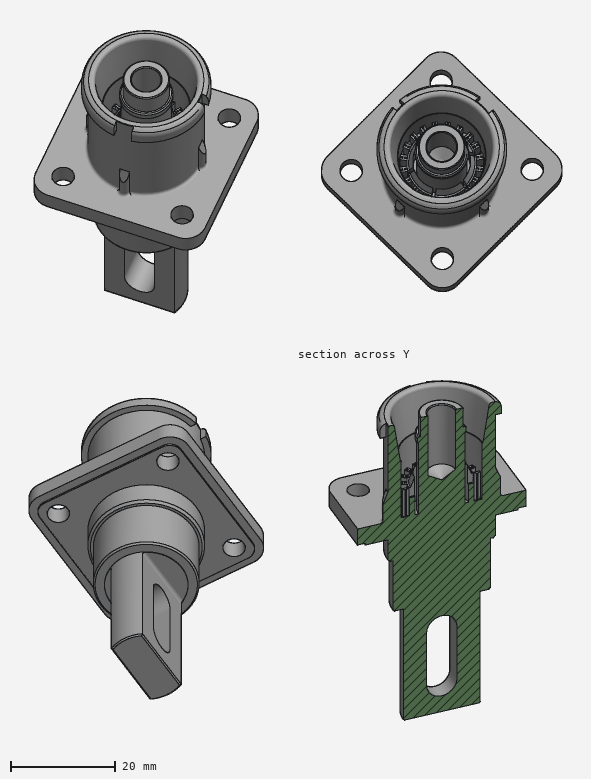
import cadquery as cq
import math

total_height = 69.2
body_bottom = 25.75
shoulder_bottom = 37.45
gasket_bottom = 42.55
plate_bottom = 43.0
plate_top = 46.8
cavity_floor = 47.05
contact_ledge = 60.0
rim_bottom = 65.75
rim_rounding_start = 67.4
rim_rounding_top = 68.45
rim_crown_start = 68.7
sleeve_top = 68.9

sleeve_radius = 11.2
lower_radius = 10.2
rim_radius = 12.45
rim_rounding_end_radius = 12.05
rim_crown_radius = 11.6
rim_bulge_inset = 0.105
shoulder_chamfer = 0.5
lower_chamfer = 0.35
sleeve_chamfer = 0.15
mouth_radius = 9.75
mouth_fillet = 0.75
ledge_radius = 8.5
plate_root_fillet = 0.55

plate_size = 35.0
plate_corner_radius = 4.0
gasket_size = 31.7
gasket_corner_radius = 2.55
mount_hole_diameter = 4.3
mount_hole_spacing = 24.6

rib_width = 2.0
rib_reach = 12.25
rib_top = 53.7
rib_taper_bottom = 51.15
wide_notch_width = 3.6

contact_count = 20
contact_width = 1.05
contact_inner_radius = 6.7
contact_outer_radius = 8.1
contact_top = 53.3
contact_slit = 0.3
contact_bridge = 0.35
contact_wall_radius = 8.4
basket_inner_radius = 5.55
basket_shoulder_radius = 6.4
basket_top = 55.35
basket_shoulder = 53.3
basket_slot_count = 6
basket_slot_width = 0.6
basket_slot_depth = 4.15

tube_radius = 4.5
tube_edge_chamfer = 0.2
collar_radius = 5.1
collar_top = 64.8
collar_height = 1.4
collar_chamfer = 0.3
core_radius = 4.85
bore_radius = 2.85
bore_depth = 13.85
bore_tip_half_angle = math.radians(59)

bar_radius = 8.0
bar_stub = 0.15
blade_thickness = 7.0
blade_root_fillet = 0.7
blade_tip_chamfer = 0.3
slot_width = 6.15
slot_bottom = 3.75
slot_top = 22.15


def rod(radius, bottom, top):
    """Plain cylinder about Z."""
    return cq.Workplane("XY").workplane(offset=bottom).circle(radius).extrude(top - bottom)


def make_plate(size, corner_radius, bottom, top):
    """Square plate with rounded corners."""
    plate = cq.Workplane("XY").workplane(offset=bottom).rect(size, size).extrude(top - bottom)
    return plate.edges("|Z").fillet(corner_radius)


def root_flare(radius, centre_x):
    """Concave fillet on the plate around an upright cylinder standing at centre_x."""
    wide = radius + plate_root_fillet
    bend = plate_root_fillet * (1 - math.sqrt(0.5))
    return (
        cq.Workplane("XZ")
        .moveTo(0, plate_top)
        .lineTo(wide, plate_top)
        .threePointArc((radius + bend, plate_top + bend), (radius, plate_top + plate_root_fillet))
        .lineTo(0, plate_top + plate_root_fillet)
        .close()
        .revolve(360, (0, 0, 0), (0, 1, 0))
        .translate((centre_x, 0, 0))
    )


def make_rib():
    """Round-nosed rib on the +X side, with its top sloping back into the sleeve."""
    nose_radius = rib_width / 2
    nose_centre = rib_reach - nose_radius
    rib_root = (mouth_radius + sleeve_radius) / 2
    rib = (
        cq.Workplane("XY")
        .workplane(offset=plate_bottom)
        .moveTo(rib_root, -nose_radius)
        .lineTo(nose_centre, -nose_radius)
        .threePointArc((rib_reach, 0), (nose_centre, nose_radius))
        .lineTo(rib_root, nose_radius)
        .close()
        .extrude(rib_top - plate_bottom)
    )
    above_slope = (
        cq.Workplane("XZ")
        .moveTo(sleeve_radius, rib_top)
        .lineTo(rib_reach, rib_taper_bottom)
        .lineTo(rib_reach, rib_top)
        .close()
        .extrude(rib_width, both=True)
    )
    return rib.cut(above_slope)


def make_flanged_sleeve():
    """Solid sleeve, mounting plate and ribs, flared where they stand on the plate."""
    sleeve = rod(sleeve_radius, shoulder_bottom, sleeve_top)
    sleeve = sleeve.faces("<Z").chamfer(shoulder_chamfer)
    sleeve = sleeve.faces(">Z").chamfer(sleeve_chamfer)
    rib = make_rib().union(root_flare(rib_width / 2, rib_reach - rib_width / 2))
    sleeve = sleeve.union(root_flare(sleeve_radius, 0))
    for quarter in range(4):
        sleeve = sleeve.union(rib.rotate((0, 0, 0), (0, 0, 1), 90 * quarter))
    sleeve = sleeve.union(make_plate(plate_size, plate_corner_radius, plate_bottom, plate_top))
    return sleeve.union(make_plate(gasket_size, gasket_corner_radius, gasket_bottom, plate_bottom))


def make_rim_notch(width):
    """Gap through the +X side of the rim, down to the sleeve surface."""
    return (
        cq.Workplane("XY")
        .workplane(offset=rim_bottom)
        .center(rim_radius, 0)
        .rect(rim_radius, width)
        .extrude(sleeve_top - rim_bottom)
        .cut(rod(sleeve_radius, rim_bottom, sleeve_top))
    )


def make_rim():
    """Rounded rim ring with a wide notch toward -Y and a narrow one toward +X."""
    rounding_middle = (
        rim_radius - rim_bulge_inset,
        (rim_rounding_start + rim_rounding_top) / 2,
    )
    lip_radius = mouth_radius + mouth_fillet
    rim = (
        cq.Workplane("XZ")
        .moveTo(lip_radius, rim_bottom)
        .lineTo(rim_radius, rim_bottom)
        .lineTo(rim_radius, rim_rounding_start)
        .threePointArc(rounding_middle, (rim_rounding_end_radius, rim_rounding_top))
        .lineTo(rim_crown_radius, rim_crown_start)
        .lineTo(sleeve_radius - sleeve_chamfer, sleeve_top)
        .lineTo(lip_radius, sleeve_top)
        .close()
        .revolve(360, (0, 0, 0), (0, 1, 0))
    )
    wide_notch = make_rim_notch(wide_notch_width).rotate((0, 0, 0), (0, 0, 1), -90)
    return rim.cut(wide_notch).cut(make_rim_notch(rib_width))


def make_cavity():
    """Flared mouth narrowing to the contact ledge, then straight down to the floor."""
    lip_radius = mouth_radius + mouth_fillet
    lip_bottom = sleeve_top - mouth_fillet
    bend = mouth_fillet * math.sqrt(0.5)
    return (
        cq.Workplane("XZ")
        .moveTo(0, cavity_floor)
        .lineTo(contact_wall_radius, cavity_floor)
        .lineTo(contact_wall_radius, contact_ledge)
        .lineTo(ledge_radius, contact_ledge)
        .lineTo(mouth_radius, lip_bottom)
        .threePointArc((lip_radius - bend, lip_bottom + bend), (lip_radius, sleeve_top))
        .lineTo(0, sleeve_top)
        .close()
        .revolve(360, (0, 0, 0), (0, 1, 0))
    )


def make_contacts():
    """Ring of H-shaped contact strips standing on the cavity floor."""
    strip_length = contact_outer_radius - contact_inner_radius
    strip_middle = (contact_outer_radius + contact_inner_radius) / 2
    bar_width = (contact_width - contact_slit) / 2
    bar_offset = (contact_slit + bar_width) / 2
    strip_height = contact_top - cavity_floor
    bars = (
        cq.Workplane("XY")
        .workplane(offset=cavity_floor)
        .pushPoints([(strip_middle, bar_offset), (strip_middle, -bar_offset)])
        .rect(strip_length, bar_width)
        .extrude(strip_height)
    )
    bridge = (
        cq.Workplane("XY")
        .workplane(offset=cavity_floor)
        .center(strip_middle, 0)
        .rect(contact_bridge, contact_width)
        .extrude(strip_height)
    )
    strip = bars.union(bridge)
    strips = cq.Workplane("XY")
    for index in range(contact_count):
        strips = strips.union(strip.rotate((0, 0, 0), (0, 0, 1), index * 360 / contact_count))
    return strips


def make_basket():
    """Slotted ring between the contacts and the tube, with a sloping top."""
    basket = (
        cq.Workplane("XZ")
        .moveTo(basket_inner_radius, shoulder_bottom)
        .lineTo(contact_inner_radius, shoulder_bottom)
        .lineTo(contact_inner_radius, basket_shoulder)
        .lineTo(basket_shoulder_radius, basket_shoulder)
        .lineTo(basket_inner_radius, basket_top)
        .close()
        .revolve(360, (0, 0, 0), (0, 1, 0))
    )
    slot = (
        cq.Workplane("XY")
        .box(contact_inner_radius, basket_slot_width, basket_slot_depth, centered=(False, True, False))
        .translate((0, 0, basket_top - basket_slot_depth))
    )
    for index in range(basket_slot_count):
        basket = basket.cut(slot.rotate((0, 0, 0), (0, 0, 1), index * 360 / basket_slot_count))
    return basket


def make_tube():
    """Centre tube with a collar near its end and a drilled bore."""
    centre = rod(core_radius, shoulder_bottom, collar_top - collar_height)
    collar = rod(collar_radius, collar_top - collar_height, collar_top)
    collar = collar.faces(">Z").chamfer(collar_chamfer)
    end = rod(tube_radius, collar_top, total_height).faces(">Z").chamfer(tube_edge_chamfer)
    bore_bottom = total_height - bore_depth
    tip_bottom = bore_bottom - bore_radius / math.tan(bore_tip_half_angle)
    bore = (
        cq.Workplane("XZ")
        .moveTo(0, tip_bottom)
        .lineTo(bore_radius, bore_bottom)
        .lineTo(bore_radius, total_height - tube_edge_chamfer)
        .lineTo(bore_radius + tube_edge_chamfer, total_height)
        .lineTo(0, total_height)
        .close()
        .revolve(360, (0, 0, 0), (0, 1, 0))
    )
    return centre.union(collar).union(end).cut(bore)


def make_blade():
    """Round bar flattened on both Y sides, with fillets at the root and a long slot."""
    stub_bottom = body_bottom - bar_stub
    bar = rod(bar_radius, 0, body_bottom)
    flat = blade_thickness / 2
    bend = blade_root_fillet * (1 - math.sqrt(0.5))
    side_cut = (
        cq.Workplane("YZ")
        .moveTo(flat, 0)
        .lineTo(flat, stub_bottom - blade_root_fillet)
        .threePointArc((flat + bend, stub_bottom - bend), (flat + blade_root_fillet, stub_bottom))
        .lineTo(bar_radius, stub_bottom)
        .lineTo(bar_radius, 0)
        .close()
        .extrude(bar_radius, both=True)
    )
    slot = (
        cq.Workplane("XZ")
        .center(0, (slot_bottom + slot_top) / 2)
        .slot2D(slot_top - slot_bottom, slot_width, 90)
        .extrude(bar_radius, both=True)
    )
    blade = bar.cut(side_cut).cut(side_cut.mirror("XZ"))
    return blade.faces("<Z").chamfer(blade_tip_chamfer).cut(slot)


mount_holes = (
    cq.Workplane("XY")
    .workplane(offset=gasket_bottom)
    .rect(mount_hole_spacing, mount_hole_spacing, forConstruction=True)
    .vertices()
    .circle(mount_hole_diameter / 2)
    .extrude(plate_top - gasket_bottom)
)
lower_body = rod(lower_radius, body_bottom, shoulder_bottom).faces("<Z").chamfer(lower_chamfer)

housing = make_flanged_sleeve().union(make_rim()).cut(make_cavity()).cut(mount_holes)
result = (
    housing.union(lower_body)
    .union(make_contacts())
    .union(make_basket())
    .union(make_tube())
    .union(make_blade())
)